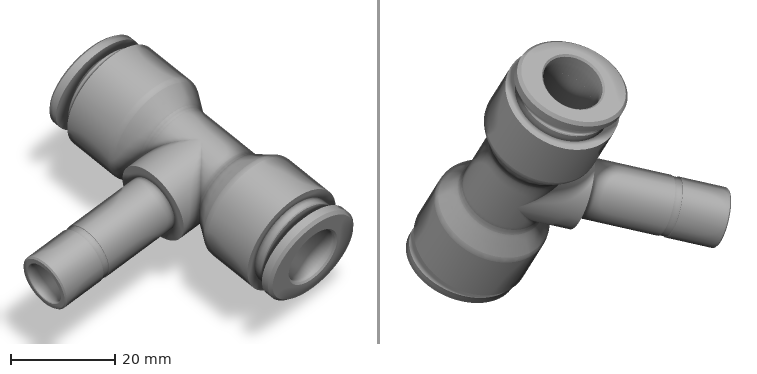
import cadquery as cq

total_length = 61.8
half_length = total_length / 2

flange_width_y = 22.7
flange_width_z = 19.6
flange_thickness = 2.35
flange_chamfer = 0.6
neck_diameter = 14.2
neck_length = 1.6
tube_bore_diameter = 12.2
tube_bore_chamfer = 0.4

collar_diameter = 19.6
collar_length = 2.0
collar_chamfer = 0.2

socket_diameter = 23.5
socket_length = 11.9
run_diameter = 17.0
taper_length = 5.1
taper_fillet = 2.2

branch_diameter = run_diameter
branch_reach = 12.85
stem_diameter = 12.0
stem_reach = 41.85
stem_chamfer = 0.3
stem_bore_diameter = 9.0
stem_bore_chamfer = 0.1
stem_groove_diameter = 11.7
stem_groove_start = 30.3
stem_groove_width = 1.55

flange_inner = half_length - flange_thickness
collar_outer = flange_inner - neck_length
socket_outer = collar_outer - collar_length
taper_outer = socket_outer - socket_length
taper_inner = taper_outer - taper_length


def x_cylinder(diameter, start, end):
    """Cylinder around the X axis between two places on it."""
    return cq.Workplane("YZ", origin=(start, 0, 0)).circle(diameter / 2).extrude(end - start)


def y_cylinder(diameter, start, end):
    """Cylinder around the Y axis between two distances from the run, towards -Y."""
    return cq.Workplane("XZ", origin=(0, -start, 0)).circle(diameter / 2).extrude(end - start)


def make_run():
    """Revolved run: a wide socket at each end, tapering to a narrower middle."""
    socket_radius = socket_diameter / 2
    run_radius = run_diameter / 2
    run = (
        cq.Workplane("XY")
        .moveTo(-socket_outer, 0)
        .lineTo(-socket_outer, socket_radius)
        .lineTo(-taper_outer, socket_radius)
        .lineTo(-taper_inner, run_radius)
        .lineTo(taper_inner, run_radius)
        .lineTo(taper_outer, socket_radius)
        .lineTo(socket_outer, socket_radius)
        .lineTo(socket_outer, 0)
        .close()
        .revolve(360, (0, 0, 0), (1, 0, 0))
    )
    end_edges = cq.selectors.StringSyntaxSelector("<X or >X")
    return run.edges("%CIRCLE").edges(cq.selectors.InverseSelector(end_edges)).fillet(taper_fillet)


def make_stem():
    """Plug-in stem with a shallow groove and a chamfered tip."""
    stem = y_cylinder(stem_diameter, 0, stem_reach).faces("<Y").chamfer(stem_chamfer)
    groove_end = stem_groove_start + stem_groove_width
    groove = y_cylinder(stem_diameter, stem_groove_start, groove_end).cut(
        y_cylinder(stem_groove_diameter, stem_groove_start, groove_end)
    )
    return stem.cut(groove)


def make_housing():
    """Tee housing with a blind tube socket at each end and a blind bore in its stem."""
    housing = make_run()
    housing = housing.union(y_cylinder(branch_diameter, 0, branch_reach))
    housing = housing.union(make_stem())
    housing = housing.cut(x_cylinder(tube_bore_diameter, taper_outer, socket_outer))
    housing = housing.cut(x_cylinder(tube_bore_diameter, -socket_outer, -taper_outer))
    housing = housing.cut(y_cylinder(stem_bore_diameter, branch_reach, stem_reach))
    bore_rim = housing.faces("<Y").edges(cq.selectors.RadiusNthSelector(0))
    return bore_rim.chamfer(stem_bore_chamfer)


def make_collar():
    """Collar on the +X end of the housing."""
    collar = x_cylinder(collar_diameter, socket_outer, collar_outer)
    collar = collar.faces(">X").chamfer(collar_chamfer)
    return collar.cut(x_cylinder(tube_bore_diameter, socket_outer, collar_outer))


def make_sleeve():
    """Release sleeve on the +X end: an oval push flange on a round neck."""
    flange = (
        cq.Workplane("YZ", origin=(flange_inner, 0, 0))
        .ellipse(flange_width_y / 2, flange_width_z / 2)
        .extrude(flange_thickness)
        .faces(">X")
        .chamfer(flange_chamfer)
    )
    sleeve = flange.union(x_cylinder(neck_diameter, collar_outer, flange_inner))
    sleeve = sleeve.cut(x_cylinder(tube_bore_diameter, collar_outer, half_length))
    bore_rim = sleeve.faces(">X").edges("%CIRCLE")
    return bore_rim.chamfer(tube_bore_chamfer)


housing = make_housing()
end_parts = []
for turn in (0, 180):
    for end_part in (make_collar(), make_sleeve()):
        end_parts.append(end_part.rotate((0, 0, 0), (0, 0, 1), turn).val())

result = cq.Compound.makeCompound([housing.val(), *end_parts])